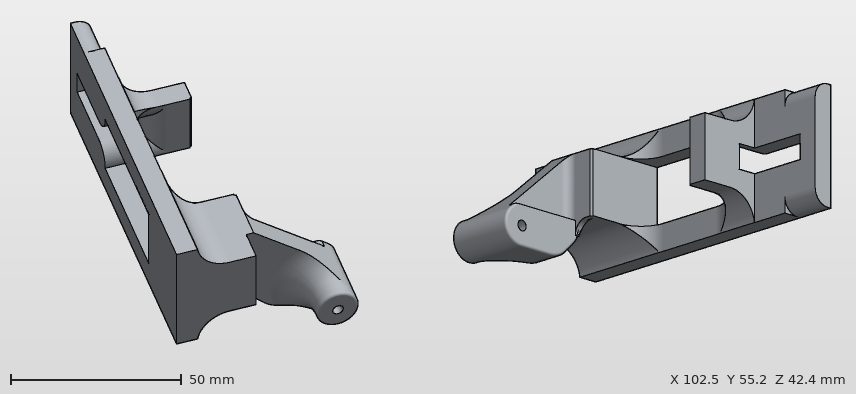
import cadquery as cq
import math

plate_length = 98.8
plate_thickness = 6.5
plate_height = 38.0
end_round_length = 12.7
end_round_radius = 5.0

block_left = 25.4
block_bottom = 8.6
block_height = 20.7
block_top = block_bottom + block_height
block_back = 26.9
block_right_back = 24.6
block_flare_radius = 10.0
gap_root_radius = 8.9
block_edge_round = 0.6

window_left = 32.4
window_right = 73.0
slot_left = 6.4
slot_bottom = 15.1
slot_top = 23.0
slot_roof = 12.6
slot_side_radius = 5.7
slot_roof_radius = 6.4

arm_left = 79.9
arm_right = 89.7
web_left = 82.6
web_root_radius = 2.7
lever_root_radius = 4.6
pivot_y = 48.7
pivot_radius = 6.5
pivot_z = block_bottom - pivot_radius
pivot_hole_diameter = 3.3
boss_right = 102.5
boss_length = 2.8
boss_flare_radius = boss_right - boss_length - arm_right
arm_edge_round = 0.8
arm_corner_chamfer = 8.4
arm_corner_radius = 9.0

overlap = 1.0


def box(x0, x1, y0, y1, z0, z1):
    """Box between two opposite corners."""
    return cq.Workplane("XY").box(x1 - x0, y1 - y0, z1 - z0, centered=False).translate((x0, y0, z0))


def prism(outline, x0, x1):
    """Extrude a closed YZ outline from x0 to x1."""
    return outline.extrude(x1 - x0).translate((x0, 0, 0))


def make_plate():
    plate = box(0, plate_length, 0, plate_thickness, 0, plate_height)
    rounded_end = box(0, end_round_length, 0, plate_thickness, 0, plate_height)
    rounded_end = rounded_end.edges("|X and >Y").fillet(end_round_radius)
    return plate.cut(box(0, end_round_length, 0, plate_thickness, 0, plate_height)).union(rounded_end)


def make_block():
    """Block whose upper and lower faces flare concavely into the plate."""
    block = box(block_left, plate_length, plate_thickness, block_back, block_bottom, block_top)
    flare_start = plate_thickness + block_flare_radius
    flared = box(block_left, plate_length, plate_thickness, flare_start, 0, plate_height)
    for centre_z in (block_bottom - block_flare_radius, block_top + block_flare_radius):
        circle = cq.Workplane("YZ").center(flare_start, centre_z).circle(block_flare_radius)
        flared = flared.cut(prism(circle, block_left, plate_length))
    step = box(arm_right, plate_length, block_right_back, block_back, block_bottom, block_top)
    return block.union(flared).cut(step)


def make_gap():
    """Full-height gap between the two uprights, rounded where it meets the plate."""
    gap = box(window_left, window_right, plate_thickness, block_back, -overlap, plate_height + overlap)
    gap = gap.edges("|Z and <Y").fillet(gap_root_radius)
    corner = block_edge_round
    for edge_x, away in ((window_left, -1), (window_right, 1)):
        relief = (
            cq.Workplane("XY")
            .moveTo(edge_x, block_back)
            .lineTo(edge_x + away * corner, block_back)
            .radiusArc((edge_x, block_back - corner), away * corner)
            .close()
            .extrude(plate_height)
        )
        gap = gap.union(relief)
    return gap


def make_slot():
    """Slot whose sides and roof flare out to the window like a horn."""
    slot = box(slot_left, window_left + overlap, -overlap, slot_roof, slot_bottom, slot_top)
    side_start = window_left - slot_side_radius
    roof_start = window_left - slot_roof_radius
    horn_bottom = slot_bottom - slot_side_radius
    horn_top = slot_top + slot_side_radius
    horn_roof = slot_roof + slot_roof_radius
    horn = box(roof_start, window_left, -overlap, horn_roof, horn_bottom, horn_top)
    for side_z, inner_z in ((horn_bottom, slot_bottom), (horn_top, slot_top)):
        side = cq.Workplane("XZ").center(side_start, side_z).circle(slot_side_radius).extrude(-block_back)
        horn = horn.cut(side.translate((0, -overlap, 0)))
        lead = box(roof_start, side_start, -overlap, horn_roof, min(side_z, inner_z), max(side_z, inner_z))
        horn = horn.cut(lead)
    roof = cq.Workplane("XY").center(roof_start, horn_roof).circle(slot_roof_radius).extrude(plate_height)
    return slot.union(horn.cut(roof))


def sloped_outline():
    """Side outline of the arm.

    It slopes from the block's top back edge to touch the pivot round, then
    follows the underside to the blunted corner below the block.
    """
    run = pivot_y - block_back
    rise = block_top - pivot_z
    root_angle = math.pi - math.atan2(rise, run)
    tangent_angle = root_angle - math.acos(pivot_radius / math.hypot(run, rise))
    bottom = pivot_z - pivot_radius
    front = block_right_back
    bend = math.radians(45)
    trim = arm_corner_chamfer + arm_corner_radius * math.tan(bend / 2)
    inset = arm_corner_radius * math.tan(bend / 2) * math.cos(bend)
    touch = (
        pivot_y + pivot_radius * math.cos(tangent_angle),
        pivot_z + pivot_radius * math.sin(tangent_angle),
    )
    return (
        cq.Workplane("YZ")
        .moveTo(block_back, block_top)
        .lineTo(*touch)
        .threePointArc(
            (pivot_y + pivot_radius * math.cos(tangent_angle / 2 - bend),
             pivot_z + pivot_radius * math.sin(tangent_angle / 2 - bend)),
            (pivot_y, bottom),
        )
        .lineTo(front + trim, bottom)
        .radiusArc((front + arm_corner_chamfer - inset, bottom + inset), arm_corner_radius)
        .lineTo(front + inset, bottom + arm_corner_chamfer - inset)
        .radiusArc((front, bottom + trim), arm_corner_radius)
        .lineTo(front, block_bottom)
        .close()
    )


def make_lever_and_web():
    """Lever with a rounded left rim, stepped back above to leave the thinner sloped web."""
    arm = prism(sloped_outline(), arm_left, arm_right).faces("<X").edges().fillet(arm_edge_round)
    ledge_clearance = box(
        arm_left, web_left, block_right_back, pivot_y + pivot_radius, block_bottom, block_top
    )
    return arm.cut(ledge_clearance)


def make_boss_flare():
    """Horn around the pivot boss, trimmed to the side outline of the arm."""
    boss_left = boss_right - boss_length
    flare = (
        cq.Workplane("XY")
        .moveTo(arm_right, pivot_y)
        .lineTo(arm_right, pivot_y + pivot_radius + boss_flare_radius)
        .radiusArc((boss_left, pivot_y + pivot_radius), -boss_flare_radius)
        .lineTo(boss_left, pivot_y)
        .close()
        .revolve(360, (arm_right, pivot_y), (boss_left, pivot_y))
        .translate((0, 0, pivot_z))
    )
    return flare.intersect(prism(sloped_outline(), arm_right, boss_left))


def make_boss():
    circle = cq.Workplane("YZ").center(pivot_y, pivot_z).circle(pivot_radius)
    return prism(circle, boss_right - boss_length, boss_right).faces(">X").edges().fillet(arm_edge_round)


def make_web_root():
    """Concave fillet between the web's left face and the back of the block."""
    fillet = (
        cq.Workplane("XY")
        .moveTo(web_left, block_back)
        .lineTo(web_left, block_back + web_root_radius)
        .radiusArc((web_left - web_root_radius, block_back), web_root_radius)
        .close()
        .extrude(block_height)
        .translate((0, 0, block_bottom))
    )
    return fillet.intersect(prism(sloped_outline(), arm_left, web_left))


def make_lever_root():
    """Concave fillet between the lever's left face and the underside of the block."""
    fillet = (
        cq.Workplane("XZ")
        .moveTo(arm_left, block_bottom)
        .lineTo(arm_left, block_bottom - lever_root_radius)
        .radiusArc((arm_left - lever_root_radius, block_bottom), -lever_root_radius)
        .close()
        .extrude(-(block_back - block_right_back))
        .translate((0, block_right_back, 0))
    )
    return fillet.intersect(prism(sloped_outline(), arm_left - lever_root_radius, arm_left))


pivot_hole = prism(
    cq.Workplane("YZ").center(pivot_y, pivot_z).circle(pivot_hole_diameter / 2), arm_left, boss_right
)
window = box(window_left, window_right, -overlap, block_back, block_bottom, block_top)

body = make_plate().union(make_block())
body = body.cut(make_gap()).cut(window).cut(make_slot())
arm = make_lever_and_web().union(make_boss_flare()).union(make_boss())
arm = arm.union(make_web_root()).union(make_lever_root())
result = body.union(arm).cut(pivot_hole)